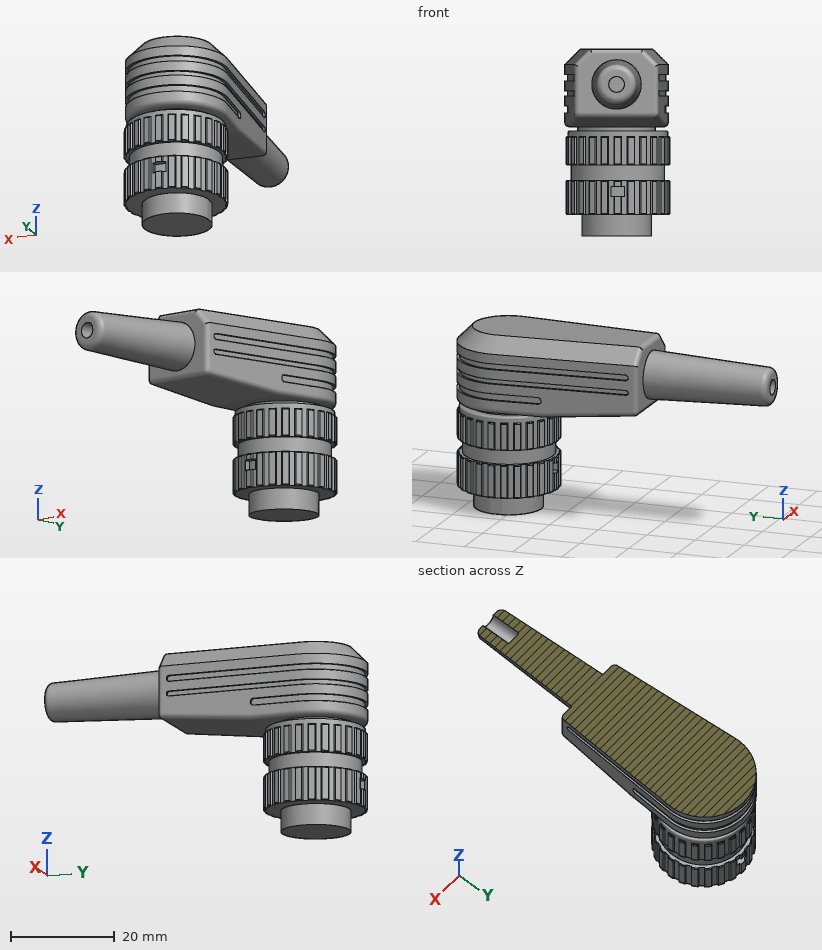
import cadquery as cq
import math


total_height = 36.0
total_length = 64.3
housing_radius = 10.0
housing_bottom = 21.0
housing_front = -29.45
front_half_width = 8.05
top_chamfer = 3.0
edge_fillet = 0.95
ramp_start = -10.5
ramp_rise = 1.8

groove_depth = 0.5
grooves = [
    (29.9, 1.15, -27.65),
    (27.0, 0.95, -27.65),
    (23.7, 1.35, -10.15),
]

sleeve_height = 29.2
sleeve_root_radius = 4.75
sleeve_tip_radius = 3.8
sleeve_rounding = 1.2
cable_hole_diameter = 3.0
cable_hole_depth = 6.4

plug_radius = 6.75
plug_flat_half_width = 1.15
neck_radius = 15.0 / 2

ring_offset = 0.25
ring_radius = 10.0
ring_bottom = 4.1
lower_grip_top = 10.75
upper_grip_bottom = 13.7
upper_grip_top = 19.15
collar_top = 20.25
collar_fillet = 0.3
grip_root_radius = 19.2 / 2
waist_radius = 18.0 / 2

rib_count = 24
rib_crest_width = 1.0
rib_root_width = 1.5
rib_chamfer = 0.2

pocket_bottom = 7.6
pocket_height = 2.0
pocket_width = 2.65
pocket_floor_radius = 17.1 / 2

overlap = 0.3
clearance = 0.65
tolerance = 0.005

front_corner_distance = math.hypot(front_half_width, housing_front)
side_angle = (
    math.atan2(-housing_front, front_half_width)
    - math.acos(housing_radius / front_corner_distance)
)


def disc(radius, bottom, top):
    """Upright cylinder about the Z axis between two heights."""
    return cq.Workplane("XY", origin=(0, 0, bottom)).circle(radius).extrude(top - bottom)


def housing_prism(bottom, height, inset=0.0):
    """Upright prism on the housing outline, its back and sides moved inward by inset."""
    radius = housing_radius - inset
    tangent_x = radius * math.cos(side_angle)
    tangent_y = -radius * math.sin(side_angle)
    front_x = front_half_width - inset / math.cos(side_angle)
    return (
        cq.Workplane("XY", origin=(0, 0, bottom))
        .moveTo(-front_x, housing_front)
        .lineTo(front_x, housing_front)
        .lineTo(tangent_x, tangent_y)
        .threePointArc((0, radius), (-tangent_x, tangent_y))
        .close()
        .extrude(height)
    )


def make_groove(bottom, width, front_end):
    """Band just under the housing surface, with a round front end on each side."""
    band = housing_prism(bottom, width, -clearance).cut(housing_prism(bottom, width, groove_depth))
    end_radius = width / 2
    back_end = housing_radius + clearance
    window = (
        cq.Workplane("YZ", origin=(0, 0, bottom + end_radius))
        .moveTo(front_end + end_radius, -end_radius)
        .threePointArc((front_end, 0), (front_end + end_radius, end_radius))
        .lineTo(back_end, end_radius)
        .lineTo(back_end, -end_radius)
        .close()
        .extrude(back_end, both=True)
    )
    return band.intersect(window)


def is_housing_rounded(edge):
    """True for the edges around the front face and around the underside."""
    box = edge.BoundingBox()
    on_front = box.ymax < housing_front + tolerance
    on_underside = box.zmax < housing_bottom + ramp_rise + tolerance
    ramp_crease = abs(box.ymin - ramp_start) < tolerance and box.ylen < tolerance
    return on_front or (on_underside and not ramp_crease)


def make_housing():
    body = housing_prism(housing_bottom, total_height - housing_bottom)
    ramp = (
        cq.Workplane("YZ")
        .moveTo(ramp_start, housing_bottom)
        .lineTo(housing_front, housing_bottom + ramp_rise)
        .lineTo(housing_front, housing_bottom)
        .close()
        .extrude(housing_radius + clearance, both=True)
    )
    body = body.cut(ramp)
    top_edges = body.faces(">Z").edges().vals()
    chamfered = [e for e in top_edges if e.BoundingBox().ymax > housing_front + tolerance]
    body = body.newObject(chamfered).chamfer(top_chamfer)
    rounded = [e for e in body.edges().vals() if is_housing_rounded(e)]
    body = body.newObject(rounded).fillet(edge_fillet)
    for bottom, width, front_end in grooves:
        body = body.cut(make_groove(bottom, width, front_end))
    return body


def make_sleeve():
    """Tapered cable sleeve with a rounded tip and a blind cable hole."""
    tip_y = housing_radius - total_length
    rounding_y = tip_y + sleeve_rounding
    face_radius = sleeve_tip_radius - sleeve_rounding
    arc_middle = sleeve_rounding * math.sqrt(0.5)
    return (
        cq.Workplane("XY", origin=(0, 0, sleeve_height))
        .moveTo(0, housing_front + overlap)
        .lineTo(sleeve_root_radius, housing_front + overlap)
        .lineTo(sleeve_root_radius, housing_front)
        .lineTo(sleeve_tip_radius, rounding_y)
        .threePointArc((face_radius + arc_middle, rounding_y - arc_middle), (face_radius, tip_y))
        .lineTo(0, tip_y)
        .close()
        .revolve(360, (0, 0, 0), (0, 1, 0))
        .faces("<Y")
        .workplane()
        .hole(cable_hole_diameter, cable_hole_depth)
    )


def make_plug():
    """Plug with its flat, and the neck that joins the ring to the housing."""
    flat_x = -math.sqrt(plug_radius**2 - plug_flat_half_width**2)
    beyond_flat = (
        cq.Workplane("YZ", origin=(flat_x, 0, 0))
        .rect(2 * plug_radius, 2 * ring_bottom)
        .extrude(-plug_radius)
    )
    plug = disc(plug_radius, 0, housing_bottom).cut(beyond_flat)
    return plug.union(disc(neck_radius, collar_top - overlap, housing_bottom + overlap))


def make_grip(bottom, top):
    """Ribbed band, its ribs chamfered at both ends."""
    inner_x = grip_root_radius - overlap
    outer_x = ring_radius + overlap
    rib = (
        cq.Workplane("XY", origin=(0, 0, bottom))
        .moveTo(inner_x, -rib_root_width / 2)
        .lineTo(grip_root_radius, -rib_root_width / 2)
        .lineTo(outer_x, -rib_crest_width / 2)
        .lineTo(outer_x, rib_crest_width / 2)
        .lineTo(grip_root_radius, rib_root_width / 2)
        .lineTo(inner_x, rib_root_width / 2)
        .close()
        .extrude(top - bottom)
    )
    envelope = disc(ring_radius, bottom, top).faces("<Z or >Z").edges().chamfer(rib_chamfer)
    rib = rib.intersect(envelope)
    grip = disc(grip_root_radius, bottom, top)
    for i in range(rib_count):
        grip = grip.union(rib.rotate((0, 0, 0), (0, 0, 1), i * 360 / rib_count))
    return grip


def make_pockets():
    """Blocks that cut the front and back of the lower grip down to a round floor."""
    bar = (
        cq.Workplane("XY", origin=(0, 0, pocket_bottom))
        .rect(pocket_width, 2 * (ring_radius + clearance))
        .extrude(pocket_height)
    )
    return bar.cut(disc(pocket_floor_radius, pocket_bottom, pocket_bottom + pocket_height))


def make_ring():
    """Coupling ring with two ribbed grips, a plain waist between them and a collar on top."""
    collar = disc(grip_root_radius, upper_grip_top, collar_top).faces(">Z").edges().fillet(collar_fillet)
    ring = (
        disc(waist_radius, ring_bottom, upper_grip_top)
        .union(make_grip(ring_bottom, lower_grip_top))
        .union(make_grip(upper_grip_bottom, upper_grip_top))
        .union(collar)
        .cut(make_pockets())
    )
    return ring.translate((ring_offset, 0, 0))


result = make_housing().union(make_sleeve()).union(make_plug()).union(make_ring())